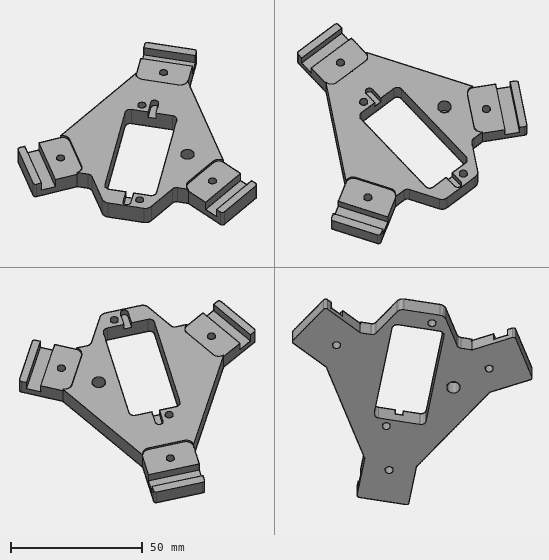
import cadquery as cq
import math

plate_height = 8.0
side_distance = 24.0

arm_count = 3
arm_spacing_angle = 360.0 / arm_count
arm_reach = 48.0
arm_width = 20.0
arm_height = 7.0
arm_corner_radius = 1.0
pad_start = 28.0
pad_corner_radius = 3.0
arm_hole_position = 34.0
arm_hole_diameter = 3.0
channel_start = 39.4
channel_end = 45.0
channel_floor = 3.0

lobe_angle = -60.0
lobe_side_lean = math.radians(60)
lobe_side_distance = 26.0
lobe_reach = 37.0
lobe_corner_radius = 3.0
lobe_root_radius = 2.0

window_center = 9.0
window_length = 42.0
window_width = 20.0
window_corner_radius = 2.0
mount_hole_spacing = 48.0
mount_hole_offset = 4.5
mount_hole_diameter = 3.0
groove_width = 3.0
groove_end_spacing = 52.0
groove_depth = 3.0

cable_hole_diameter = 5.0
cable_hole_position = (18.4, 3.25)


def turned(shape, angle):
    return shape.rotate((0, 0, 0), (0, 0, 1), angle)


def block(x_start, x_end, width, z_start, z_end):
    """Box centred on the X axis, given by its ends along X and Z."""
    return (
        cq.Workplane("XY", origin=((x_start + x_end) / 2, 0, z_start))
        .rect(x_end - x_start, width)
        .extrude(z_end - z_start)
    )


def lobe_half_width(x):
    return (lobe_side_distance - x * math.cos(lobe_side_lean)) / math.sin(lobe_side_lean)


def make_plate():
    """Triangle with one corner on each arm axis, and the lobe on its lower right side."""
    triangle_corner_distance = 2 * side_distance
    triangle = (
        cq.Workplane("XY")
        .polygon(arm_count, 2 * triangle_corner_distance)
        .extrude(plate_height)
    )
    lobe_start = side_distance / 2
    lobe = (
        cq.Workplane("XY")
        .polyline([
            (lobe_start, -lobe_half_width(lobe_start)),
            (lobe_reach, -lobe_half_width(lobe_reach)),
            (lobe_reach, lobe_half_width(lobe_reach)),
            (lobe_start, lobe_half_width(lobe_start)),
        ])
        .close()
        .extrude(plate_height)
    )
    plate = turned(triangle, -lobe_angle).union(lobe)
    for x, radius in ((lobe_reach, lobe_corner_radius), (side_distance, lobe_root_radius)):
        for side in (-1, 1):
            corner = (x, side * lobe_half_width(x), plate_height / 2)
            plate = plate.edges(cq.selectors.NearestToPointSelector(corner)).fillet(radius)
    return turned(plate, lobe_angle)


def make_arm():
    arm = block(pad_start, arm_reach, arm_width, 0, arm_height)
    arm = arm.edges("|Z and >X").fillet(arm_corner_radius)
    channel = block(channel_start, channel_end, arm_width, channel_floor, arm_height)
    return arm.cut(channel)


def make_arm_hole():
    return (
        cq.Workplane("XY")
        .center(arm_hole_position, 0)
        .circle(arm_hole_diameter / 2)
        .extrude(arm_height)
    )


def make_arm_clearance():
    """What the triangle gives up: a step above the pad, and its corner beyond the channel start."""
    step = block(pad_start, arm_reach, arm_width, arm_height, plate_height)
    step = step.edges("|Z and <X").fillet(pad_corner_radius)
    tip = block(channel_start, arm_reach, arm_width, 0, plate_height)
    return step.union(tip)


def add_arms(plate):
    for index in range(arm_count):
        angle = index * arm_spacing_angle
        plate = plate.cut(turned(make_arm_clearance(), angle))
        plate = plate.union(turned(make_arm(), angle))
        plate = plate.cut(turned(make_arm_hole(), angle))
    return plate


def make_window():
    return (
        block(-window_length / 2, window_length / 2, window_width, 0, plate_height)
        .edges("|Z")
        .fillet(window_corner_radius)
    )


def make_grooves():
    """One long slot across the window, leaving a groove beyond each end."""
    return (
        cq.Workplane("XY", origin=(0, 0, plate_height - groove_depth))
        .slot2D(groove_end_spacing + groove_width, groove_width)
        .extrude(groove_depth)
    )


def make_mount_holes():
    half_spacing = mount_hole_spacing / 2
    return (
        cq.Workplane("XY")
        .pushPoints([(-half_spacing, -mount_hole_offset), (half_spacing, mount_hole_offset)])
        .circle(mount_hole_diameter / 2)
        .extrude(plate_height)
    )


def cut_window(plate):
    for cutter in (make_window(), make_grooves(), make_mount_holes()):
        plate = plate.cut(turned(cutter.translate((window_center, 0, 0)), lobe_angle))
    return plate


def cut_cable_hole(plate):
    hole = (
        cq.Workplane("XY")
        .center(*cable_hole_position)
        .circle(cable_hole_diameter / 2)
        .extrude(plate_height)
    )
    return plate.cut(hole)


result = cut_cable_hole(cut_window(add_arms(make_plate())))